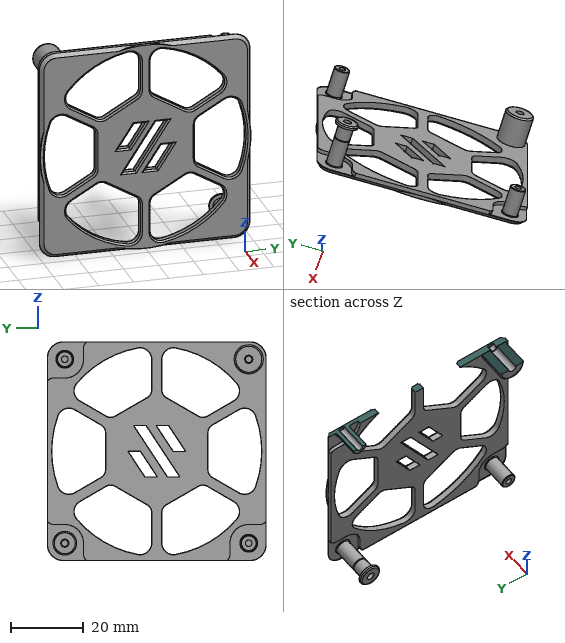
import cadquery as cq
import math

PLATE_SIZE = 60.0
PLATE_THICKNESS = 2.2
CORNER_RADIUS = 4.5
OUTER_CHAMFER = 1.0
DISC_RADIUS = PLATE_SIZE / 2

WINDOW_COUNT = 6
WINDOW_RADIUS = 28.75
HUB_APOTHEM = 14.05
RIB_WIDTH = 2.8
WINDOW_OUTER_FILLET = 3.2
WINDOW_INNER_FILLET = 2.5
OPENING_CHAMFER = 0.5

SLOT_WIDTH = 3.35
SLOT_HALF_HEIGHT = 7.0
SLOT_HALF_LEAN = 4.6
SLOT_PITCH = 6.2

MOUNT_OFFSET = 25.2
RECESS_SIZE = 9.9
RECESS_DEPTH = 1.0
RECESS_CORNER_RADIUS = 5.0
FLARE_RADIUS = 2.5
FLARE_LENGTH = 1.9
PEG_DIAMETER = 4.4
PEG_END_X = -6.95
PEG_END_CHAMFER = 0.2
PEG_FOOT_FLARE = 0.25
PILOT_DIAMETER = 1.8
PILOT_FLOOR = 0.6

BORE_DIAMETER = 2.2
CAP_END_X = -12.0
FLANGE_DIAMETER = 6.5
FLANGE_THICKNESS = 0.95
FLANGE_CHAMFER = 0.35

POST_DIAMETER = 8.0
POST_END_X = -8.7
POST_CHAMFER = 0.4

HALF = PLATE_SIZE / 2
RECESS_WALL = HALF - RECESS_SIZE
RECESS_CORNERS = [(1, 1), (1, -1), (-1, -1)]
CAP_CORNER = (1, -1)
POST_CORNER = (-1, 1)


def yz_plane(x):
    """Sketch plane facing +X with local axes Y and Z."""
    return cq.Workplane("YZ", origin=(x, 0, 0))


def mount_rod(diameter, x_start, x_end, corner):
    """Round bar along X on the mount axis of one corner."""
    y_sign, z_sign = corner
    return (
        yz_plane(x_start)
        .center(y_sign * MOUNT_OFFSET, z_sign * MOUNT_OFFSET)
        .circle(diameter / 2)
        .extrude(x_end - x_start)
    )


def make_blank():
    slab = (
        yz_plane(0)
        .rect(PLATE_SIZE, PLATE_SIZE)
        .extrude(PLATE_THICKNESS)
        .edges("|X")
        .fillet(CORNER_RADIUS)
        .faces(">X")
        .chamfer(OUTER_CHAMFER)
    )
    disc = yz_plane(0).circle(DISC_RADIUS).extrude(PLATE_THICKNESS)
    return slab.union(disc)


def make_window():
    """Window centred on +Y: hub flat inside, circular arc outside, rib flanks at the sides."""
    half_angle = math.pi / WINDOW_COUNT
    flank_shift = RIB_WIDTH / 2 / math.cos(half_angle)
    inner_z = HUB_APOTHEM * math.tan(half_angle) - flank_shift
    outer_angle = half_angle - math.asin(RIB_WIDTH / 2 / WINDOW_RADIUS)
    outer_y = WINDOW_RADIUS * math.cos(outer_angle)
    outer_z = WINDOW_RADIUS * math.sin(outer_angle)
    return (
        yz_plane(0)
        .moveTo(HUB_APOTHEM, -inner_z)
        .lineTo(outer_y, -outer_z)
        .threePointArc((WINDOW_RADIUS, 0), (outer_y, outer_z))
        .lineTo(HUB_APOTHEM, inner_z)
        .close()
        .extrude(PLATE_THICKNESS)
        .edges("|X and <Y")
        .fillet(WINDOW_INNER_FILLET)
        .edges("|X")
        .edges(">Y")
        .fillet(WINDOW_OUTER_FILLET)
    )


def make_slot(shift, z_low, z_high):
    """Leaning slot between two heights; its centre line crosses Z = 0 at Y = shift."""
    lean = SLOT_HALF_LEAN / SLOT_HALF_HEIGHT
    y_low = shift + lean * z_low
    y_high = shift + lean * z_high
    half_width = SLOT_WIDTH / 2
    return (
        yz_plane(0)
        .polyline([
            (y_low - half_width, z_low),
            (y_low + half_width, z_low),
            (y_high + half_width, z_high),
            (y_high - half_width, z_high),
        ])
        .close()
        .extrude(PLATE_THICKNESS)
    )


def make_recess(corner):
    """Corner pocket with a rounded inner corner and flared ends, open at both plate edges."""
    y_sign, z_sign = corner
    tangent = HALF - FLARE_LENGTH
    flare_rise = FLARE_RADIUS - math.sqrt(FLARE_RADIUS**2 - FLARE_LENGTH**2)
    flare_end = RECESS_WALL - flare_rise
    round_start = RECESS_WALL + RECESS_CORNER_RADIUS

    def at(y, z):
        """Point mirrored into this corner."""
        return (y_sign * y, z_sign * z)

    flare_mid_angle = math.asin(FLARE_LENGTH / FLARE_RADIUS) / 2
    flare_mid_along = tangent + FLARE_RADIUS * math.sin(flare_mid_angle)
    flare_mid_across = RECESS_WALL - FLARE_RADIUS * (1 - math.cos(flare_mid_angle))
    round_mid = round_start - RECESS_CORNER_RADIUS * math.cos(math.pi / 4)
    return (
        yz_plane(0)
        .moveTo(*at(HALF, HALF))
        .lineTo(*at(flare_end, HALF))
        .threePointArc(at(flare_mid_across, flare_mid_along), at(RECESS_WALL, tangent))
        .lineTo(*at(RECESS_WALL, round_start))
        .threePointArc(at(round_mid, round_mid), at(round_start, RECESS_WALL))
        .lineTo(*at(tangent, RECESS_WALL))
        .threePointArc(at(flare_mid_along, flare_mid_across), at(HALF, flare_end))
        .close()
        .extrude(RECESS_DEPTH)
    )


def make_peg(corner):
    """Peg on the recess floor, chamfered at its free end and flared by a small cone at its base."""
    y_sign, z_sign = corner
    peg = mount_rod(PEG_DIAMETER, PEG_END_X, RECESS_DEPTH, corner)
    peg = peg.faces("<X").chamfer(PEG_END_CHAMFER)
    foot_start = cq.Vector(RECESS_DEPTH - PEG_FOOT_FLARE, y_sign * MOUNT_OFFSET, z_sign * MOUNT_OFFSET)
    foot = cq.Solid.makeCone(
        PEG_DIAMETER / 2,
        PEG_DIAMETER / 2 + PEG_FOOT_FLARE,
        PEG_FOOT_FLARE,
        pnt=foot_start,
        dir=cq.Vector(1, 0, 0),
    )
    return peg.union(foot)


def cut_openings(plate):
    """Cut the windows and slots, then chamfer them where they leave the outer face."""
    window = make_window()
    for i in range(WINDOW_COUNT):
        plate = plate.cut(window.rotate((0, 0, 0), (1, 0, 0), i * 360 / WINDOW_COUNT))

    plate = plate.cut(make_slot(0, -SLOT_HALF_HEIGHT, SLOT_HALF_HEIGHT))
    plate = plate.cut(make_slot(SLOT_PITCH, -SLOT_HALF_HEIGHT, 0))
    plate = plate.cut(make_slot(-SLOT_PITCH, 0, SLOT_HALF_HEIGHT))

    outer_face = plate.faces(">X").val()
    opening_edges = [edge for wire in outer_face.innerWires() for edge in wire.Edges()]
    return plate.newObject(opening_edges).chamfer(OPENING_CHAMFER)


def make_grille():
    grille = cut_openings(make_blank())
    for corner in RECESS_CORNERS:
        grille = grille.cut(make_recess(corner)).union(make_peg(corner))
    for corner in RECESS_CORNERS + [POST_CORNER]:
        pilot_hole = mount_rod(PILOT_DIAMETER, PEG_END_X, PLATE_THICKNESS - PILOT_FLOOR, corner)
        grille = grille.cut(pilot_hole)
    return grille


def make_cap():
    flange = mount_rod(FLANGE_DIAMETER, CAP_END_X, CAP_END_X + FLANGE_THICKNESS, CAP_CORNER)
    flange = flange.faces("<X").chamfer(FLANGE_CHAMFER)
    shank = mount_rod(PEG_DIAMETER, CAP_END_X, PEG_END_X, CAP_CORNER)
    bore = mount_rod(BORE_DIAMETER, CAP_END_X, PEG_END_X, CAP_CORNER)
    return flange.union(shank).cut(bore)


def make_post():
    post = mount_rod(POST_DIAMETER, POST_END_X, 0, POST_CORNER)
    post = post.faces("<X").chamfer(POST_CHAMFER)
    return post.cut(mount_rod(BORE_DIAMETER, POST_END_X, 0, POST_CORNER))


grille = make_grille()
cap = make_cap()
post = make_post()

result = cq.Compound.makeCompound([grille.val(), cap.val(), post.val()])